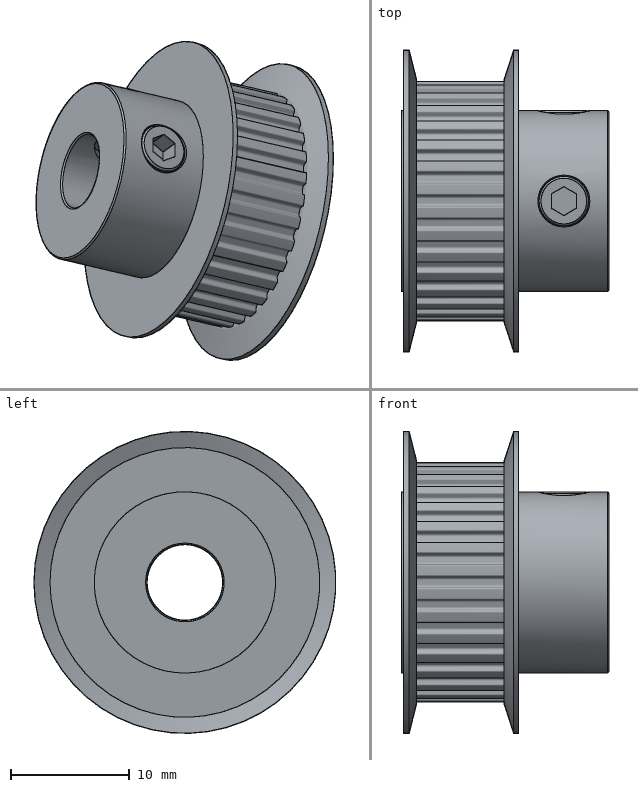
import cadquery as cq
import math


length = 17.46
flange_radius = 12.7
hub_radius = 7.62
bore_radius = 3.175
edge_chamfer = 0.13

front_rim_start = 0.16
front_rim_end = 0.65
teeth_start = 1.27
teeth_end = 8.64
rear_rim_start = 9.44
rear_rim_end = 9.86
flange_root_radius = 10.25
dish_floor_x = 0.62
dish_floor_radius = 11.34

tooth_count = 32
crest_radius = 10.09
groove_depth = 0.51
groove_floor_width = 0.69
groove_flank_angle = 20
groove_floor_fillet = 0.2
crest_fillet = 0.12
root_radius = crest_radius - groove_depth

screw_radius = 2.08
screw_chamfer = 0.16
screw_hole_chamfer = 0.1
screw_hex_flats = 2.1
screw_hex_depth = 2.0
screw_top = hub_radius
screw_length = screw_top - bore_radius
screw_x = (rear_rim_end + length) / 2
screw_turns = (0, -90)


def make_blank():
    """Turned body with both flanges and no bore, its belt seat cut down to the groove floors."""
    profile = (
        cq.Workplane("XY")
        .moveTo(0, 0)
        .lineTo(0, hub_radius)
        .lineTo(dish_floor_x, hub_radius)
        .lineTo(dish_floor_x, dish_floor_radius)
        .lineTo(front_rim_start, flange_radius)
        .lineTo(front_rim_end, flange_radius)
        .lineTo(teeth_start, flange_root_radius)
        .lineTo(teeth_start, root_radius)
        .lineTo(teeth_end, root_radius)
        .lineTo(teeth_end, flange_root_radius)
        .lineTo(rear_rim_start, flange_radius)
        .lineTo(rear_rim_end, flange_radius)
        .lineTo(rear_rim_end, hub_radius)
        .lineTo(length - edge_chamfer, hub_radius)
        .lineTo(length, hub_radius - edge_chamfer)
        .lineTo(length, 0)
        .close()
    )
    return profile.revolve(360, (0, 0, 0), (1, 0, 0))


def make_groove_cutter():
    """One belt groove on the +Y side, with rounded floor corners and flanks carried past the crest."""
    flank_height = 2 * groove_depth
    flank_spread = flank_height * math.tan(math.radians(groove_flank_angle))
    half_floor = groove_floor_width / 2
    half_top = half_floor + flank_spread
    top_radius = root_radius + flank_height
    cutter = (
        cq.Workplane("YZ", origin=(teeth_start, 0, 0))
        .moveTo(root_radius, -half_floor)
        .lineTo(top_radius, -half_top)
        .lineTo(top_radius, half_top)
        .lineTo(root_radius, half_floor)
        .close()
        .extrude(teeth_end - teeth_start)
    )
    return cutter.faces("<Y").edges("|X").fillet(groove_floor_fillet)


def make_toothed_ring():
    """Belt seat with evenly spaced grooves and rounded tooth crests."""
    seat = cq.Workplane("YZ", origin=(teeth_start, 0, 0))
    ring = seat.circle(crest_radius).extrude(teeth_end - teeth_start)
    cutter = make_groove_cutter()
    for index in range(tooth_count):
        turn = index * 360 / tooth_count
        ring = ring.cut(cutter.rotate((0, 0, 0), (1, 0, 0), turn))

    def is_crest(edge):
        middle = edge.Center()
        return math.hypot(middle.y, middle.z) > crest_radius - groove_depth / 10

    return ring.edges("|X").filter(is_crest).fillet(crest_fillet)


def make_bore():
    """Through bore, widened by a chamfer at both ends."""
    mouth_radius = bore_radius + edge_chamfer
    return (
        cq.Workplane("XY")
        .moveTo(0, 0)
        .lineTo(0, mouth_radius)
        .lineTo(edge_chamfer, bore_radius)
        .lineTo(length - edge_chamfer, bore_radius)
        .lineTo(length, mouth_radius)
        .lineTo(length, 0)
        .close()
        .revolve(360, (0, 0, 0), (1, 0, 0))
    )


def cut_screw_holes(body):
    """Radial holes from the hub surface into the bore, chamfered at the hub surface."""
    hole = cq.Workplane("XY", origin=(screw_x, 0, 0)).circle(screw_radius).extrude(2 * hub_radius)
    for turn in screw_turns:
        body = body.cut(hole.rotate((0, 0, 0), (1, 0, 0), turn))

    def is_hole_mouth(edge):
        box = edge.BoundingBox()
        centred_on_hole = abs(box.center.x - screw_x) < screw_radius / 10
        width_of_hole = abs(box.xlen - 2 * screw_radius) < screw_radius / 10
        clear_of_bore = max(box.ymax, box.zmax) > (bore_radius + hub_radius) / 2
        return centred_on_hole and width_of_hole and clear_of_bore

    mouths = body.edges().filter(is_hole_mouth)
    return mouths.chamfer(screw_hole_chamfer)


def make_pulley():
    body = make_blank().union(make_toothed_ring()).cut(make_bore())
    return cut_screw_holes(body)


def make_set_screw(turn):
    """Set screw with a chamfered top and a hex socket, its tip level with the bore."""
    hex_diameter = screw_hex_flats / math.cos(math.pi / 6)
    screw = (
        cq.Workplane("XY", origin=(screw_x, 0, screw_top))
        .circle(screw_radius)
        .extrude(-screw_length)
        .faces(">Z")
        .chamfer(screw_chamfer)
    )
    socket = (
        cq.Workplane("XY", origin=(screw_x, 0, screw_top))
        .transformed(rotate=(0, 0, 90))
        .polygon(6, hex_diameter)
        .extrude(-screw_hex_depth)
    )
    return screw.cut(socket).rotate((0, 0, 0), (1, 0, 0), turn)


pulley = make_pulley()
set_screws = [make_set_screw(turn).val() for turn in screw_turns]

result = cq.Compound.makeCompound([pulley.val(), *set_screws])